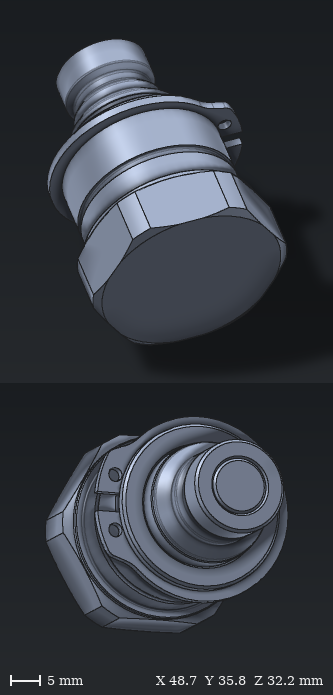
import cadquery as cq
import math

LENGTH = 48.7

TIP_R = 8.15
TIP_CHAMFER = 0.5
LOCK_R = 6.95
LOCK_START = 5.6
LOCK_END = 9.9
LOCK_DEPTH = TIP_R - LOCK_R
LOCK_FRONT_RIM_FILLET = 0.45
LOCK_FRONT_ROOT_FILLET = 0.65
LOCK_BACK_ROOT_FILLET = 0.85
LOCK_BACK_RIM_FILLET = 0.65

VALVE_R = 4.4
VALVE_SEAT_R = 4.85
VALVE_RIM_R = 5.2
VALVE_GROOVE_DEPTH = 0.4

SHOULDER_R = 10.35
SHOULDER_END = 13.92
SHOULDER_START = SHOULDER_END - (SHOULDER_R - TIP_R)
SHOULDER_FILLET = 0.6
SHOULDER_ROOT_FILLET = 0.2
COLLAR_R = 10.53
COLLAR_STEP_START = 14.96
COLLAR_STEP_END = 15.23

BODY_R = 14.4
BODY_START = 18.5
BODY_CHAMFER = 0.5
COLLAR_RELIEF_R = 10.85
BODY_GROOVE_R = 13.75
BODY_GROOVE_START = 30.67
BODY_GROOVE_END = 32.3
BODY_GROOVE_FILLET = 0.28
NECK_FILLET = 0.38

RING_GROOVE_R = 13.75
RING_GROOVE_START = 20.55
RING_GROOVE_END = 22.25
RING_THICKNESS = 1.5
RING_START = (RING_GROOVE_START + RING_GROOVE_END - RING_THICKNESS) / 2
RING_R = 16.115
RING_OFFSET = 0.5
LUG_R = 18.33
LUG_FLANK_ANGLE = math.radians(18.7)
LUG_FLANK_Z = 14.5
LUG_CORNER_FILLET = 2.0
LUG_ROOT_FILLET = 6.0
GAP_WIDTH = 3.3
PLIER_HOLE_R = 1.2
PLIER_HOLE_Y = 15.0
PLIER_HOLE_Z = 4.83

FLANGE_R = 15.9
FLANGE_START = 37.6
FLANGE_CHAMFER = 0.2
HEX_START = 38.57
HEX_FLATS = 32.0
HEX_CORNER_R = 17.5
HEX_END_R = 16.15
HEX_CHAMFER_SLOPE = math.tan(math.radians(30))


def revolve_about_x(profile):
    return profile.close().revolve(360, (0, 0, 0), (1, 0, 0))


def ring_cut(start, end, inner_r, outer_r):
    """Rectangular-section ring used to cut a groove around the X axis."""
    profile = (
        cq.Workplane("XZ")
        .moveTo(start, inner_r)
        .lineTo(end, inner_r)
        .lineTo(end, outer_r)
        .lineTo(start, outer_r)
    )
    return revolve_about_x(profile)


def fillet_circle(solid, x, radius, fillet):
    """Fillet the circular edge of the given radius at position x."""
    tolerance = 0.01

    def matches(edge):
        box = edge.BoundingBox()
        flat_at_x = abs(box.xmin - x) < tolerance and abs(box.xmax - x) < tolerance
        return flat_at_x and abs(box.zmax - radius) < tolerance

    return solid.edges().filter(matches).fillet(fillet)


def make_plug():
    """Tip, locking groove, shoulder and collar."""
    profile = (
        cq.Workplane("XZ")
        .moveTo(0, 0)
        .lineTo(0, TIP_R - TIP_CHAMFER)
        .lineTo(TIP_CHAMFER, TIP_R)
        .lineTo(LOCK_START, TIP_R)
        .lineTo(LOCK_START + LOCK_DEPTH, LOCK_R)
        .lineTo(LOCK_END - LOCK_DEPTH, LOCK_R)
        .lineTo(LOCK_END, TIP_R)
        .lineTo(SHOULDER_START, TIP_R)
        .lineTo(SHOULDER_END, SHOULDER_R)
        .lineTo(COLLAR_STEP_START, SHOULDER_R)
        .lineTo(COLLAR_STEP_END, COLLAR_R)
        .lineTo(BODY_START, COLLAR_R)
        .lineTo(BODY_START, 0)
    )
    plug = revolve_about_x(profile)
    rounded_edges = (
        (LOCK_START, TIP_R, LOCK_FRONT_RIM_FILLET),
        (LOCK_START + LOCK_DEPTH, LOCK_R, LOCK_FRONT_ROOT_FILLET),
        (LOCK_END - LOCK_DEPTH, LOCK_R, LOCK_BACK_ROOT_FILLET),
        (LOCK_END, TIP_R, LOCK_BACK_RIM_FILLET),
        (SHOULDER_START, TIP_R, SHOULDER_ROOT_FILLET),
        (SHOULDER_END, SHOULDER_R, SHOULDER_FILLET),
    )
    for x, radius, fillet in rounded_edges:
        plug = fillet_circle(plug, x, radius, fillet)
    return plug


def make_valve_groove():
    profile = (
        cq.Workplane("XZ")
        .moveTo(0, VALVE_R)
        .lineTo(VALVE_GROOVE_DEPTH, VALVE_SEAT_R)
        .lineTo(0, VALVE_RIM_R)
    )
    return revolve_about_x(profile)


def make_collar_relief():
    profile = (
        cq.Workplane("XZ")
        .moveTo(BODY_START, COLLAR_R)
        .lineTo(BODY_START + COLLAR_RELIEF_R - COLLAR_R, COLLAR_R)
        .lineTo(BODY_START, COLLAR_RELIEF_R)
    )
    return revolve_about_x(profile)


def make_body():
    """Main cylinder and flange, with the collar relief and the two body grooves cut."""
    profile = (
        cq.Workplane("XZ")
        .moveTo(BODY_START, 0)
        .lineTo(BODY_START, BODY_R - BODY_CHAMFER)
        .lineTo(BODY_START + BODY_CHAMFER, BODY_R)
        .lineTo(FLANGE_START, BODY_R)
        .lineTo(FLANGE_START, FLANGE_R - FLANGE_CHAMFER)
        .lineTo(FLANGE_START + FLANGE_CHAMFER, FLANGE_R)
        .lineTo(HEX_START, FLANGE_R)
        .lineTo(HEX_START, 0)
    )
    body = revolve_about_x(profile)
    body = fillet_circle(body, FLANGE_START, BODY_R, NECK_FILLET)
    body = body.cut(make_collar_relief())
    body = body.cut(ring_cut(RING_GROOVE_START, RING_GROOVE_END, RING_GROOVE_R, FLANGE_R))
    body = body.cut(ring_cut(BODY_GROOVE_START, BODY_GROOVE_END, BODY_GROOVE_R, FLANGE_R))
    return fillet_circle(body, BODY_GROOVE_START, BODY_GROOVE_R, BODY_GROOVE_FILLET)


def make_hexagon():
    """Hexagon with flats facing +Z and -Z, turned down and chamfered at both ends."""
    prism = (
        cq.Workplane("YZ", origin=(HEX_START, 0, 0))
        .polygon(6, HEX_FLATS / math.cos(math.radians(30)))
        .extrude(LENGTH - HEX_START)
    )
    front_chamfer = (HEX_CORNER_R - FLANGE_R) * HEX_CHAMFER_SLOPE
    back_chamfer = (HEX_CORNER_R - HEX_END_R) * HEX_CHAMFER_SLOPE
    envelope = (
        cq.Workplane("XZ")
        .moveTo(HEX_START, 0)
        .lineTo(HEX_START, FLANGE_R)
        .lineTo(HEX_START + front_chamfer, HEX_CORNER_R)
        .lineTo(LENGTH - back_chamfer, HEX_CORNER_R)
        .lineTo(LENGTH, HEX_END_R)
        .lineTo(LENGTH, 0)
    )
    return prism.intersect(revolve_about_x(envelope))


def flank_crossing(center_y, radius):
    """Point (Y, Z) where the upper lug flank meets a circle centred on the Y axis."""
    flank_distance = (LUG_FLANK_Z - center_y * math.tan(LUG_FLANK_ANGLE)) * math.cos(LUG_FLANK_ANGLE)
    angle = math.pi / 2 - LUG_FLANK_ANGLE - math.acos(flank_distance / radius)
    return center_y + radius * math.cos(angle), radius * math.sin(angle)


def make_retaining_ring():
    """Eccentric ring with two lugs and plier holes either side of a gap at +Y."""
    plane = cq.Workplane("YZ", origin=(RING_START, 0, 0))
    flank_tip_z = LUG_FLANK_Z - LUG_R * math.tan(LUG_FLANK_ANGLE)
    lug_wedge = (
        plane.moveTo(0, LUG_FLANK_Z)
        .lineTo(LUG_R, flank_tip_z)
        .lineTo(LUG_R, -flank_tip_z)
        .lineTo(0, -LUG_FLANK_Z)
        .close()
        .extrude(RING_THICKNESS)
    )
    lugs = plane.circle(LUG_R).extrude(RING_THICKNESS).intersect(lug_wedge)
    ring = plane.center(-RING_OFFSET, 0).circle(RING_R).extrude(RING_THICKNESS).union(lugs)

    lug_root = flank_crossing(-RING_OFFSET, RING_R)
    lug_corner = flank_crossing(0, LUG_R)
    for (y, z), fillet in ((lug_root, LUG_ROOT_FILLET), (lug_corner, LUG_CORNER_FILLET)):
        for side in (-1, 1):
            edge_point = (RING_START + RING_THICKNESS / 2, y, side * z)
            nearest = cq.selectors.NearestToPointSelector(edge_point)
            ring = ring.edges("|X").edges(nearest).fillet(fillet)

    bore = plane.circle(RING_GROOVE_R).extrude(RING_THICKNESS)
    gap = plane.center(LUG_R / 2, 0).rect(LUG_R, GAP_WIDTH).extrude(RING_THICKNESS)
    holes = (
        plane.pushPoints([(PLIER_HOLE_Y, PLIER_HOLE_Z), (PLIER_HOLE_Y, -PLIER_HOLE_Z)])
        .circle(PLIER_HOLE_R)
        .extrude(RING_THICKNESS)
    )
    return ring.cut(bore).cut(gap).cut(holes)


result = (
    make_body()
    .union(make_plug())
    .union(make_hexagon())
    .union(make_retaining_ring())
    .cut(make_valve_groove())
)